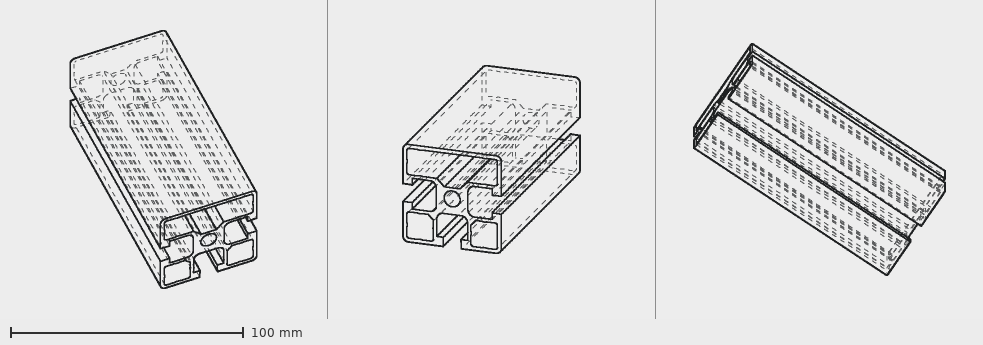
import cadquery as cq

length = 100.0
side = 45.0
half_side = side / 2
corner_radius = 2.5

slot_opening = 8.3
slot_throat = 8.0
slot_width = 14.1
lip_thickness = 4.3
slot_floor = 7.2
slot_floor_radius = 3.0

bore_diameter = 7.3

outer_wall = 1.8
web = 1.5
chamber_radius = 1.2
chamber_outer = half_side - outer_wall
chamber_inner = slot_width / 2 + web
chamber_middle = (chamber_outer + chamber_inner) / 2
inner_corner_chamfer = 2.4

relief_floor = 5.1
relief_top_half_width = 7.0
relief_depth = chamber_inner - relief_floor
relief_bottom_half_width = relief_top_half_width - relief_depth

ridge_width = 2.2
ridge_height = 0.2
ridge_radius = (ridge_width**2 / 4 + ridge_height**2) / (2 * ridge_height)


def bar(y_min, y_max, z_min, z_max):
    """Full-length rectangular bar with the given section limits."""
    return (
        cq.Workplane("YZ")
        .center((y_min + y_max) / 2, (z_min + z_max) / 2)
        .rect(y_max - y_min, z_max - z_min)
        .extrude(length)
    )


def slot():
    """T-slot void that opens towards -Z, with a slightly tapered mouth."""
    lip_inner_face = lip_thickness - half_side
    mouth = (
        cq.Workplane("YZ")
        .moveTo(-slot_opening / 2, -half_side)
        .lineTo(-slot_throat / 2, lip_inner_face)
        .lineTo(-slot_throat / 2, -slot_floor)
        .lineTo(slot_throat / 2, -slot_floor)
        .lineTo(slot_throat / 2, lip_inner_face)
        .lineTo(slot_opening / 2, -half_side)
        .close()
        .extrude(length)
    )
    channel = bar(-slot_width / 2, slot_width / 2, lip_inner_face, -slot_floor)
    channel = channel.edges("|X and >Z").fillet(slot_floor_radius)
    return channel.union(mouth)


def ridges(places):
    """Cylinders whose crowns stand out of the chamber walls.

    Each place is a wall point (y, z) and the direction (y, z) into the chamber.
    """
    sunk = ridge_radius - ridge_height
    centres = [(y - sunk * dy, z - sunk * dz) for (y, z), (dy, dz) in places]
    return cq.Workplane("YZ").pushPoints(centres).circle(ridge_radius).extrude(length)


def wide_chamber():
    """Void across the top, with the tapered relief in its floor."""
    chamber = bar(-chamber_outer, chamber_outer, chamber_inner, chamber_outer)
    chamber = chamber.edges("|X").fillet(chamber_radius)
    relief = (
        cq.Workplane("YZ")
        .moveTo(-relief_top_half_width, chamber_inner)
        .lineTo(-relief_bottom_half_width, relief_floor)
        .lineTo(relief_bottom_half_width, relief_floor)
        .lineTo(relief_top_half_width, chamber_inner)
        .close()
        .extrude(length)
    )
    places = []
    for sign in (-1, 1):
        places.append(((sign * chamber_outer, chamber_middle), (-sign, 0)))
        places.append(((sign * chamber_middle, chamber_inner), (0, 1)))
        places.append(((sign * chamber_middle, chamber_outer), (0, -1)))
    return chamber.union(relief).cut(ridges(places))


def corner_chamber():
    """Void in the lower corner on the +Y side, chamfered next to the core."""
    chamber = bar(chamber_inner, chamber_outer, -chamber_outer, -chamber_inner)
    chamber = chamber.edges("|X and >Y").fillet(chamber_radius)
    chamber = chamber.edges("|X and <Y and <Z").fillet(chamber_radius)
    chamber = chamber.edges("|X and <Y and >Z").chamfer(inner_corner_chamfer)
    places = [
        ((chamber_inner, -chamber_middle), (1, 0)),
        ((chamber_outer, -chamber_middle), (-1, 0)),
        ((chamber_middle, -chamber_inner), (0, -1)),
        ((chamber_middle, -chamber_outer), (0, 1)),
    ]
    return chamber.cut(ridges(places))


profile = bar(-half_side, half_side, -half_side, half_side)
profile = profile.edges("|X").fillet(corner_radius)

for angle in (-90, 0, 90):
    profile = profile.cut(slot().rotate((0, 0, 0), (1, 0, 0), angle))

bore = cq.Workplane("YZ").circle(bore_diameter / 2).extrude(length)
profile = profile.cut(bore)

profile = profile.cut(wide_chamber())
profile = profile.cut(corner_chamber())
profile = profile.cut(corner_chamber().mirror("XZ"))

result = profile